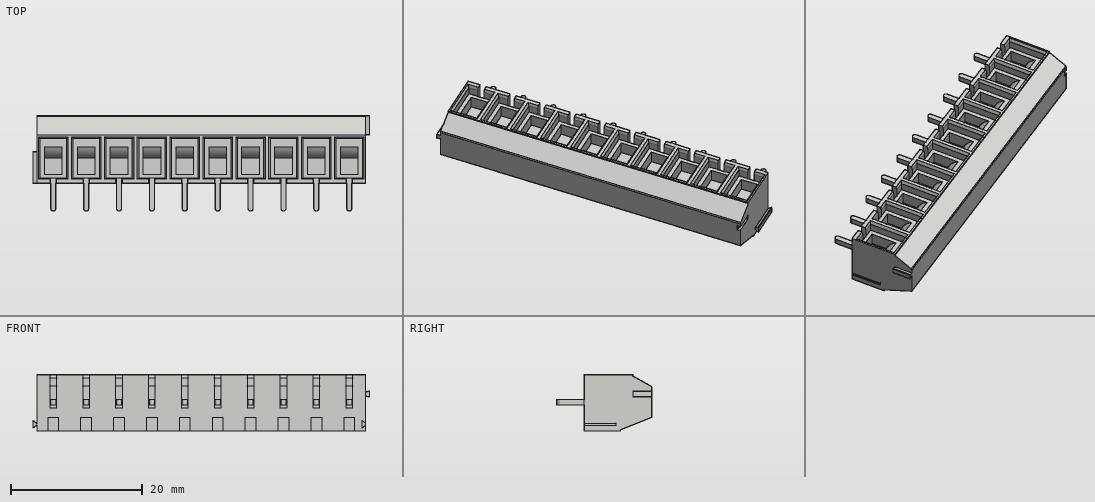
import cadquery as cq
import math

pole_count = 10
pitch = 5.0
body_length = pole_count * pitch
body_depth = 10.3
body_height = 8.6

top_depth = 7.4
bottom_depth = 5.55
edge_step = 0.2
upper_corner_depth = 10.2
upper_corner_height = 6.83
back_top = 6.6
back_bottom = 2.1

pocket_width = 4.0
pocket_front = 0.8
pocket_back = 6.86
pocket_depth = 1.75
pocket_floor = body_height - pocket_depth
rim_bevel_width = 0.24
rim_bevel_front = 0.15
rim_bevel_depth = 0.5

well_width = 2.7
well_front = 1.4
well_back = 5.55
clamp_radius = 3.4
clamp_front = 3.85
clamp_axis_y = 7.08
clamp_axis_z = pocket_floor - math.sqrt(clamp_radius**2 - (clamp_axis_y - well_back) ** 2)
well_floor = clamp_axis_z + math.sqrt(clamp_radius**2 - (clamp_axis_y - clamp_front) ** 2)

slot_width = 1.0
slot_depth = 5.1
slot_bottom = body_height - slot_depth
pin_width = 0.8
pin_height = 0.9
pin_length = 4.2
pin_tip_length = pin_width / 2
pin_embedment = 0.5
pin_center_depth = 4.2
pin_center_height = body_height - pin_center_depth

notch_width = 1.65
notch_height = 2.05
notch_depth = 0.3

rib_projection = 0.6
rib_edge_bevel_height = 0.13
rib_edge_bevel_depth = 0.06
lower_rib_height = 1.05
lower_rib_length = 4.85
lower_rib_root = 0.3
lower_rib_tip = 1.1
upper_rib_height = 5.65
upper_rib_length = 2.9
upper_rib_root = 0.65
upper_rib_tip = 0.95


def box(x_center, width, y_start, y_end, z_start, z_end):
    size = (width, y_end - y_start, z_end - z_start)
    return cq.Workplane("XY").box(*size, centered=(True, False, False)).translate((x_center, y_start, z_start))


def make_body():
    outline = [
        (0, 0),
        (bottom_depth, 0),
        (bottom_depth, edge_step),
        (body_depth, back_bottom),
        (body_depth, back_top),
        (upper_corner_depth, upper_corner_height),
        (top_depth, body_height - edge_step),
        (top_depth, body_height),
        (0, body_height),
    ]
    return cq.Workplane("YZ").polyline(outline).close().extrude(body_length)


def make_pocket(x):
    pocket = box(x, pocket_width, pocket_front, pocket_back, pocket_floor, body_height)
    inner_depth = pocket_back - pocket_front
    rim_depth = inner_depth + rim_bevel_front + rim_bevel_width
    rim_width = pocket_width + 2 * rim_bevel_width
    bevel = (
        cq.Workplane("XY", origin=(x, pocket_front + inner_depth / 2, body_height - rim_bevel_depth))
        .rect(pocket_width, inner_depth)
        .workplane(offset=rim_bevel_depth)
        .center(0, (rim_bevel_width - rim_bevel_front) / 2)
        .rect(rim_width, rim_depth)
        .loft(ruled=True)
    )
    return pocket.union(bevel)


def make_well(x):
    clamp = (
        cq.Workplane("YZ", origin=(x - well_width / 2, 0, 0))
        .center(clamp_axis_y, clamp_axis_z)
        .circle(clamp_radius)
        .extrude(well_width)
    )
    return box(x, well_width, well_front, well_back, well_floor, pocket_floor).cut(clamp)


def make_pin(x):
    half = pin_width / 2
    return (
        cq.Workplane("XY", origin=(x, 0, pin_center_height - pin_height / 2))
        .moveTo(-half, pocket_front + pin_embedment)
        .lineTo(-half, pin_tip_length - pin_length)
        .threePointArc((0, -pin_length), (half, pin_tip_length - pin_length))
        .lineTo(half, pocket_front + pin_embedment)
        .close()
        .extrude(pin_height)
    )


def make_dovetail(x_root, y_start, y_end, z_center, root, tip):
    x_tip = x_root - rib_projection
    x_shoulder = x_tip + rib_edge_bevel_depth
    tip_face = tip - 2 * rib_edge_bevel_height
    outline = [
        (x_root, z_center - root / 2),
        (x_root, z_center + root / 2),
        (x_shoulder, z_center + tip / 2),
        (x_tip, z_center + tip_face / 2),
        (x_tip, z_center - tip_face / 2),
        (x_shoulder, z_center - tip / 2),
    ]
    plane = cq.Workplane("XZ", origin=(0, y_end, 0))
    return plane.polyline(outline).close().extrude(y_end - y_start)


def add_lower_joint(body):
    dims = (0, lower_rib_length, lower_rib_height, lower_rib_root, lower_rib_tip)
    body = body.union(make_dovetail(0, *dims))
    return body.cut(make_dovetail(body_length, *dims))


def add_upper_joint(body):
    dims = (body_depth - upper_rib_length, body_depth, upper_rib_height, upper_rib_root, upper_rib_tip)
    rib = make_dovetail(0, *dims).mirror("YZ").translate((body_length, 0, 0))
    groove = make_dovetail(0, *dims).mirror("YZ")
    return body.union(rib).cut(groove)


def add_pole(body, x):
    body = body.cut(make_pocket(x))
    body = body.cut(make_well(x))
    body = body.cut(box(x, slot_width, 0, pocket_front, slot_bottom, body_height))
    body = body.cut(box(x, notch_width, 0, notch_depth, 0, notch_height))
    return body.union(make_pin(x))


result = make_body()
for pole in range(pole_count):
    result = add_pole(result, (pole + 0.5) * pitch)
result = add_lower_joint(result)
result = add_upper_joint(result)